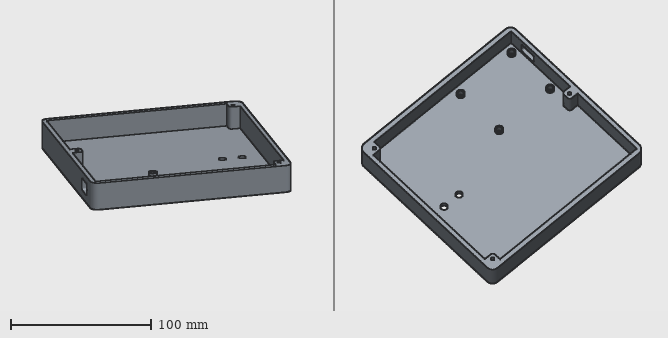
import cadquery as cq

width = 139.7
length = 148.3
height = 20.3
corner_radius = 5.2
side_wall = 4.0
end_wall = 3.5
floor_thickness = 3.5

screw_inset = 7.9
screw_diameter = 2.5
screw_depth = height - floor_thickness
post_reach = 11.4
post_width = 7.9
post_corner_radius = 2.1

standoff_outer = 6.1
standoff_bore = 4.0
standoff_height = 2.1
standoff_spacing_x = 40.3
standoff_spacing_y = 49.7
standoff_right_inset = 10.7
standoff_front_inset = 9.2

floor_hole_diameter = 5.3
floor_hole_insets = (18.1, 32.8)

window_width = 13.2
window_height = 9.0
window_sill = 6.0
window_right_inset = 21.4
window_radius = 1.5

half_width = width / 2
half_length = length / 2
cavity_depth = height - floor_thickness


def make_tray():
    outer = cq.Workplane("XY").box(width, length, height, centered=(True, True, False))
    outer = outer.edges("|Z").fillet(corner_radius)
    cavity = (
        cq.Workplane("XY")
        .workplane(offset=floor_thickness)
        .rect(width - 2 * side_wall, length - 2 * end_wall)
        .extrude(cavity_depth)
    )
    return outer.cut(cavity)


def make_corner_post(side):
    """Back corner post: side is -1 for left, +1 for right."""
    size_x = post_reach - side_wall
    size_y = post_reach - end_wall
    x = side * (half_width - side_wall - size_x / 2)
    y = half_length - end_wall - size_y / 2
    post = cq.Workplane("XY").box(size_x, size_y, cavity_depth, centered=(True, True, False))
    inner_edge = "<X and <Y" if side > 0 else ">X and <Y"
    post = post.edges("|Z").edges(inner_edge).fillet(post_corner_radius)
    return post.translate((x, y, floor_thickness))


def make_front_post():
    size_y = post_reach - end_wall
    post = cq.Workplane("XY").box(post_width, size_y, cavity_depth, centered=(True, True, False))
    post = post.edges("|Z and >Y").fillet(post_corner_radius)
    return post.translate((0, -half_length + end_wall + size_y / 2, floor_thickness))


def make_cylinders(points, diameter, bottom, cylinder_height):
    return (
        cq.Workplane("XY")
        .workplane(offset=bottom)
        .pushPoints(points)
        .circle(diameter / 2)
        .extrude(cylinder_height)
    )


def make_window():
    x = half_width - window_right_inset
    z = window_sill + window_height / 2
    window = cq.Workplane("XY").box(window_width, end_wall, window_height)
    window = window.edges("|Y").fillet(window_radius)
    return window.translate((x, -half_length + end_wall / 2, z))


screw_points = [
    (-half_width + screw_inset, half_length - screw_inset),
    (half_width - screw_inset, half_length - screw_inset),
    (0, -half_length + screw_inset),
]
standoff_right = half_width - standoff_right_inset
standoff_front = -half_length + standoff_front_inset
standoff_points = [
    (x, y)
    for x in (standoff_right - standoff_spacing_x, standoff_right)
    for y in (standoff_front, standoff_front + standoff_spacing_y)
]
floor_hole_points = [(0, half_length - inset) for inset in floor_hole_insets]

result = make_tray()
for side in (-1, 1):
    result = result.union(make_corner_post(side))
result = result.union(make_front_post())
result = result.union(make_cylinders(standoff_points, standoff_outer, floor_thickness, standoff_height))

result = result.cut(make_cylinders(screw_points, screw_diameter, height - screw_depth, screw_depth))
result = result.cut(make_cylinders(standoff_points, standoff_bore, 0, floor_thickness + standoff_height))
result = result.cut(make_cylinders(floor_hole_points, floor_hole_diameter, 0, floor_thickness))
result = result.cut(make_window())